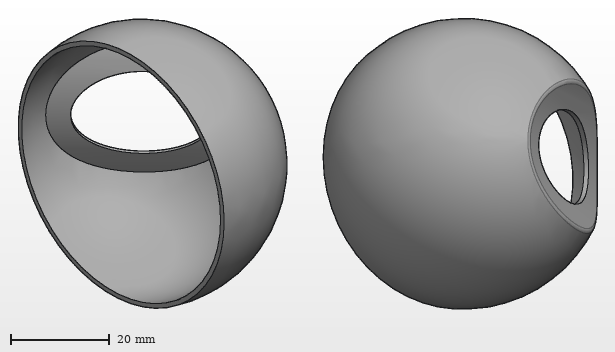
import cadquery as cq
import math

outer_radius = 29.5
wall = 1.0
opening_offset = 6.0

trough_angle = 43.0
trough_floor = 21.6
trough_radius = 31.55
rim_fillet = 1.0

window_half_length = 14.65
window_half_height = 9.45

reach = 2 * outer_radius

angle = math.radians(trough_angle)
along_trough = cq.Vector(math.cos(angle), math.sin(angle), 0)
out_of_trough = cq.Vector(-math.sin(angle), math.cos(angle), 0)


def opened_ball(radius):
    """Ball sliced flat at the opening plane, revolved about the Y axis."""
    opening_radius = math.sqrt(radius**2 - opening_offset**2)
    profile = (
        cq.Workplane("XY")
        .moveTo(0, -opening_offset)
        .lineTo(opening_radius, -opening_offset)
        .threePointArc((radius * math.cos(math.pi / 4), radius * math.sin(math.pi / 4)), (0, radius))
        .close()
    )
    return profile.revolve(360, (0, 0, 0), (0, 1, 0))


def trough_cutter(radius):
    """Long cylinder on the trough axis."""
    axis_distance = trough_floor + trough_radius
    start = out_of_trough * axis_distance - along_trough * reach
    return cq.Workplane(cq.Solid.makeCylinder(radius, 2 * reach, start, along_trough))


def outer_body():
    """Outside shape of the shell, with the rim of the trough rounded."""
    body = opened_ball(outer_radius).cut(trough_cutter(trough_radius))
    trough_face = cq.selectors.NearestToPointSelector((out_of_trough * trough_floor).toTuple())
    return body.faces(trough_face).edges().fillet(rim_fillet)


def cavity():
    """Inside of the shell, one wall thickness within the outer body."""
    return opened_ball(outer_radius - wall).cut(trough_cutter(trough_radius + wall))


def window():
    """Elliptical cutter passing straight through the trough floor."""
    plane = cq.Plane(origin=(0, 0, 0), xDir=along_trough, normal=out_of_trough)
    return cq.Workplane(plane).ellipse(window_half_length, window_half_height).extrude(outer_radius)


result = outer_body().cut(cavity()).cut(window())